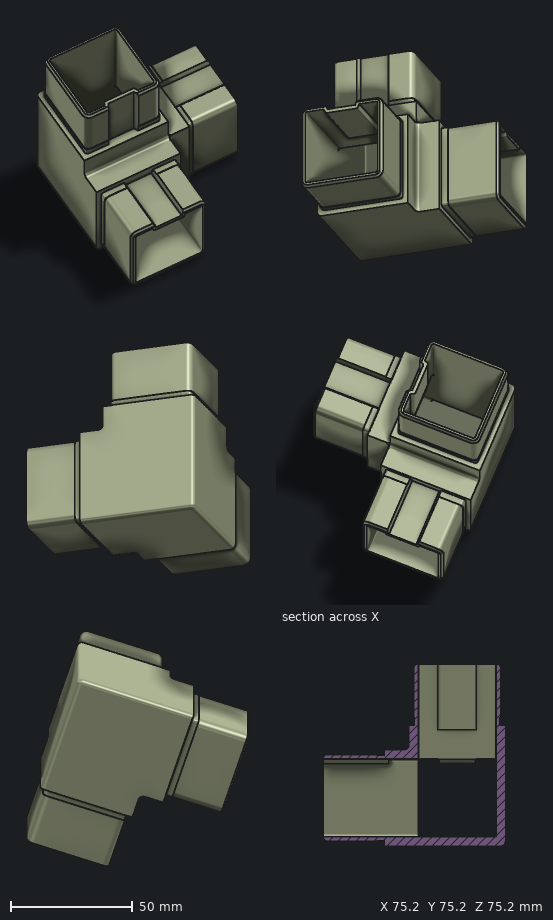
import cadquery as cq

overall = 75.2
arm_width = 40.0
arm_length = 50.1
edge_radius = 2.0

spigot_width = 35.95
spigot_radius = 3.1
spigot_length = overall - arm_length
rim_chamfer = 1.0
bore_width = 31.9
bore_radius = 1.0

neck_length = 2.9
neck_setback = 0.26
neck_width = spigot_width - 2 * neck_setback
neck_radius = 1.2

groove_floor_width = 12.0
groove_depth = 2.2
groove_flare = 1.05
rib_height = 1.8
rib_edge_radius = 0.75
rib_overrun = 1.95
rib_length = spigot_length + rib_overrun

arm_middle = arm_width / 2
bore_depth = overall - arm_middle + bore_width / 2


def square_bar(width, corner_radius, bottom, top):
    """Square bar along local Z with rounded long edges."""
    bar = cq.Workplane("XY").workplane(offset=bottom).rect(width, width).extrude(top - bottom)
    return bar.edges("|Z").fillet(corner_radius)


def trapezoid_bar(wide_x, wide_width, narrow_x, narrow_width, bottom, top):
    """Bar along local Z whose section narrows from wide_x to narrow_x."""
    return (
        cq.Workplane("XY")
        .workplane(offset=bottom)
        .moveTo(wide_x, -wide_width / 2)
        .lineTo(narrow_x, -narrow_width / 2)
        .lineTo(narrow_x, narrow_width / 2)
        .lineTo(wide_x, wide_width / 2)
        .close()
        .extrude(top - bottom)
    )


def make_body():
    """Corner body, rounded along its outer edges and its three inner corners."""
    body = cq.Workplane("XY").box(arm_length, arm_width, arm_width, centered=False)
    body = body.union(cq.Workplane("XY").box(arm_width, arm_length, arm_width, centered=False))
    body = body.union(cq.Workplane("XY").box(arm_width, arm_width, arm_length, centered=False))
    for side in (0, arm_width):
        body = (
            body.edges(cq.NearestToPointSelector((arm_middle, side, side)))
            .add(body.edges(cq.NearestToPointSelector((side, arm_middle, side))))
            .add(body.edges(cq.NearestToPointSelector((side, side, arm_middle))))
            .fillet(edge_radius)
        )
    return body


def make_spigot():
    """Solid neck and spigot along local Z, with the groove on the local +X wall."""
    spigot = square_bar(spigot_width, spigot_radius, neck_length, spigot_length)
    spigot = spigot.faces(">Z").edges().chamfer(rim_chamfer)
    spigot = spigot.union(square_bar(neck_width, neck_radius, 0, neck_length))
    wall = spigot_width / 2
    groove = trapezoid_bar(
        wall, groove_floor_width + 2 * groove_flare,
        wall - groove_depth, groove_floor_width,
        0, spigot_length,
    )
    return spigot.cut(groove)


def make_bore():
    """Bore along local Z, indented by the rib behind the groove.

    It runs through the arm to the far wall of the corner, where the three bores meet.
    The rib stops just past the end of the groove.
    """
    bore = square_bar(bore_width, bore_radius, spigot_length - bore_depth, spigot_length)
    wall = bore_width / 2
    rib_flare = groove_flare * rib_height / groove_depth
    rib_top_width = groove_floor_width + 2 * groove_flare
    rib = trapezoid_bar(
        wall, rib_top_width + 2 * rib_flare,
        wall - rib_height, rib_top_width,
        spigot_length - rib_length, spigot_length,
    )
    rib = rib.edges("|Z and <X").fillet(rib_edge_radius)
    return bore.cut(rib)


def on_arm_ends(shape):
    """Copies of a local shape placed on the ends of the X, Y and Z arms."""
    arm_ends = (
        cq.Plane((arm_length, arm_middle, arm_middle), xDir=(0, 0, 1), normal=(1, 0, 0)),
        cq.Plane((arm_middle, arm_length, arm_middle), xDir=(0, 0, 1), normal=(0, 1, 0)),
        cq.Plane((arm_middle, arm_middle, arm_length), xDir=(1, 0, 0), normal=(0, 0, 1)),
    )
    return [shape.val().moved(cq.Location(plane)) for plane in arm_ends]


result = make_body()
for spigot in on_arm_ends(make_spigot()):
    result = result.union(cq.Workplane(spigot))
for bore in on_arm_ends(make_bore()):
    result = result.cut(cq.Workplane(bore))